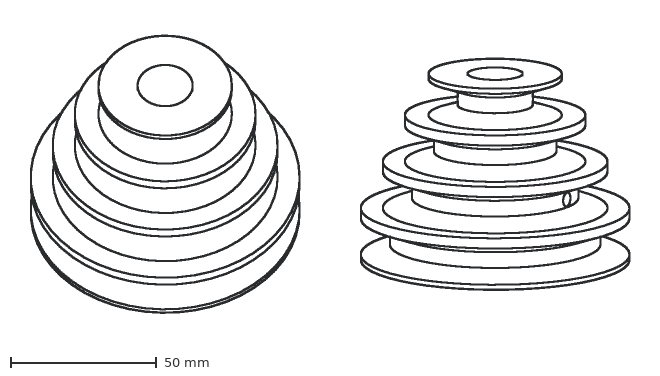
import cadquery as cq

total_height = 65.4
rim_radii = [46.15, 38.6, 31.0, 22.9]
groove_depth = 10.0
rim_thickness = 3.6
groove_floor_width = 5.5
bore_diameter = 18.9
cross_hole_diameter = 4.9
cross_hole_step = 1

step_pitch = total_height / len(rim_radii)
half_rim = rim_thickness / 2


def step_profile(step, rim_radius):
    """Outer (radius, z) points of one step, from its groove's lower edge to its rim top."""
    base_z = step * step_pitch
    middle_z = base_z + step_pitch / 2
    top_z = base_z + step_pitch
    floor_radius = rim_radius - groove_depth
    is_top_step = step == len(rim_radii) - 1
    return [
        (rim_radius, base_z + half_rim),
        (floor_radius, middle_z - groove_floor_width / 2),
        (floor_radius, middle_z + groove_floor_width / 2),
        (rim_radius, top_z - half_rim),
        (rim_radius, top_z if is_top_step else top_z + half_rim),
    ]


bore_radius = bore_diameter / 2
outline = [(bore_radius, 0), (rim_radii[0], 0)]
for step, rim_radius in enumerate(rim_radii):
    outline += step_profile(step, rim_radius)
outline.append((bore_radius, total_height))
body = cq.Workplane("XZ").polyline(outline).close().revolve(360, (0, 0, 0), (0, 1, 0))

cross_hole_z = (cross_hole_step + 0.5) * step_pitch
cross_hole = (
    cq.Workplane("XZ")
    .center(0, cross_hole_z)
    .circle(cross_hole_diameter / 2)
    .extrude(rim_radii[0], both=True)
)

result = body.cut(cross_hole)